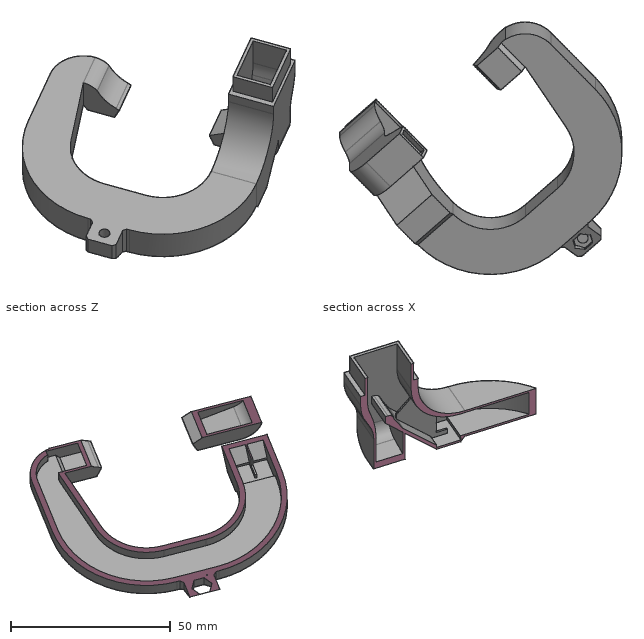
import cadquery as cq
import math


HALF_WIDTH = 37.9
RING_HEIGHT = 11.0
RING_BAND = 15.0
OUTER_RADIUS = 31.0
INNER_RADIUS = OUTER_RADIUS - RING_BAND
FLAT_HALF = HALF_WIDTH - OUTER_RADIUS
ARM_END_Y = 62.45
NOZZLE_WIDTH = 11.0
NOZZLE_FRONT_Y = ARM_END_Y - NOZZLE_WIDTH
ARM_INNER_X = NOZZLE_WIDTH - HALF_WIDTH
SIDE_WALL = 2.0
WALL = 1.0

LEG_INNER_X = HALF_WIDTH - RING_BAND
LEG_TOP = 30.7
LEG_DEPTH = 20.0
LEG_BACK_Y = 67.0
LEG_FRONT_Y = LEG_BACK_Y - LEG_DEPTH
LEG_CURVE = LEG_FRONT_Y - OUTER_RADIUS
LEG_CURVE_TOP = RING_HEIGHT + LEG_CURVE
LEG_WALL_Y = 2.6
OUTER_BACK_SHARE = 0.58
INNER_BACK_SHARE = 0.3
DIP = 1.75
DIP_RUN = 1.4
DIP_REAR_Y = 40.7
WEB_HEIGHT = 1.9
WEB_CREST_Y = 58.4
WEB_CREST_Z = 18.95
WEB_CREST_WIDTH = 0.8
WEB_SHOULDER = (55.3, 16.7)
WEB_KNEE_Y = 52.3
VANE_THICKNESS = 0.6
VANE_START_Y = 34.9
VANE_END_Y = 53.45

SPIGOT_X = 13.2
SPIGOT_Y = 16.8
SPIGOT_HEIGHT = 7.05

TIP_X = 14.9
TIP_TOP = 2.2
TIP_BOTTOM_X = 16.5
SLIT_START = 0.25
SLIT_END = 0.75
NOZZLE_SLOPE = 32.0
NOZZLE_FILLET = 3.5
LEFT_LIP = 1.05
LEFT_CREST_X = -22.3
LEFT_CREST_Z = 8.95
LEFT_HOLLOW = (-19.85, 5.5)
LEFT_DIP_X = -25.5
RIGHT_FLOOR_SLOPE = 11.0
RIGHT_PASSAGE_BEND = 5.3
RIGHT_OUTER_BEND = RIGHT_PASSAGE_BEND + SIDE_WALL

TAB_LENGTH = 7.95
TAB_HALF = 5.0
TAB_CHAMFER = 1.0
TAB_TIP_Z = 4.7
SCREW_Y = -3.95
SCREW_DIAMETER = 3.3
NUT_CORNERS = 6.45
NUT_TOP = 5.3
MEMBRANE = 0.3

SQRT_HALF = math.sqrt(0.5)


def slope(degrees):
    return math.tan(math.radians(degrees))


def along_x(outline, x_start, x_end):
    return outline.close().extrude(x_end - x_start).translate((x_start, 0, 0))


def along_y(outline, y_start, y_end):
    return outline.close().extrude(y_start - y_end).translate((0, y_start, 0))


def web_underside(y):
    return y - DIP_REAR_Y - DIP


def tip_point(fraction, side):
    """Point (x, z) on a nozzle tip face, 0 at its top and 1 at its bottom."""
    x = TIP_X + fraction * (TIP_BOTTOM_X - TIP_X)
    return side * x, TIP_TOP - fraction * (TIP_TOP + DIP)



def ring_plan(right_end_y):
    """Closed outline of the U, with its right leg cut off square at right_end_y."""
    dx = ARM_INNER_X + FLAT_HALF
    dy = NOZZLE_FRONT_Y - OUTER_RADIUS
    tangent = math.atan2(dy, dx) + math.acos(INNER_RADIUS / math.hypot(dx, dy))
    middle = (tangent + 1.5 * math.pi) / 2

    def on_inner_bend(angle):
        x = -FLAT_HALF + INNER_RADIUS * math.cos(angle)
        return x, OUTER_RADIUS + INNER_RADIUS * math.sin(angle)

    outer_mid_x = FLAT_HALF + OUTER_RADIUS * SQRT_HALF
    outer_mid_y = OUTER_RADIUS * (1 - SQRT_HALF)
    inner_mid_x = FLAT_HALF + INNER_RADIUS * SQRT_HALF
    inner_mid_y = OUTER_RADIUS - INNER_RADIUS * SQRT_HALF
    corner_mid = NOZZLE_WIDTH * (1 - SQRT_HALF)
    return (
        cq.Workplane("XY")
        .moveTo(-FLAT_HALF, 0)
        .lineTo(FLAT_HALF, 0)
        .threePointArc((outer_mid_x, outer_mid_y), (HALF_WIDTH, OUTER_RADIUS))
        .lineTo(HALF_WIDTH, right_end_y)
        .lineTo(LEG_INNER_X, right_end_y)
        .lineTo(LEG_INNER_X, OUTER_RADIUS)
        .threePointArc((inner_mid_x, inner_mid_y), (FLAT_HALF, RING_BAND))
        .lineTo(-FLAT_HALF, RING_BAND)
        .threePointArc(on_inner_bend(middle), on_inner_bend(tangent))
        .lineTo(ARM_INNER_X, NOZZLE_FRONT_Y)
        .lineTo(ARM_INNER_X, ARM_END_Y)
        .threePointArc((corner_mid - HALF_WIDTH, ARM_END_Y - corner_mid), (-HALF_WIDTH, NOZZLE_FRONT_Y))
        .lineTo(-HALF_WIDTH, OUTER_RADIUS)
        .threePointArc((-outer_mid_x, outer_mid_y), (-FLAT_HALF, 0))
        .close()
    )


def ring_body():
    return ring_plan(DIP_REAR_Y).extrude(RING_HEIGHT)


def ring_channel():
    plan = ring_plan(DIP_REAR_Y).offset2D(-SIDE_WALL)
    return plan.extrude(RING_HEIGHT - 2 * WALL).translate((0, 0, WALL))



def leg_outline(front_y, back_top_y, back_low_y, curve, top, upper_share):
    """Start of a leg outline: front sweep, top and S-shaped back, ending on the back at ring height."""
    centre_y = front_y - curve
    reach = curve * SQRT_HALF
    drop = LEG_CURVE_TOP - RING_HEIGHT
    shift = back_top_y - back_low_y
    joint_y = back_top_y - upper_share * shift
    joint_z = LEG_CURVE_TOP - upper_share * drop
    return (
        cq.Workplane("YZ")
        .moveTo(centre_y, LEG_CURVE_TOP - curve)
        .threePointArc((centre_y + reach, LEG_CURVE_TOP - reach), (front_y, LEG_CURVE_TOP))
        .lineTo(front_y, top)
        .lineTo(back_top_y, top)
        .lineTo(back_top_y, LEG_CURVE_TOP)
        .tangentArcPoint((joint_y, joint_z), relative=False)
        .tangentArcPoint((back_low_y, RING_HEIGHT), relative=False)
    )


def leg_body():
    outline = (
        leg_outline(LEG_FRONT_Y, LEG_BACK_Y, ARM_END_Y, LEG_CURVE, LEG_TOP, OUTER_BACK_SHARE)
        .lineTo(ARM_END_Y, web_underside(NOZZLE_FRONT_Y))
        .lineTo(NOZZLE_FRONT_Y, web_underside(NOZZLE_FRONT_Y))
        .lineTo(DIP_REAR_Y, -DIP)
        .lineTo(OUTER_RADIUS + DIP_RUN, -DIP)
        .lineTo(OUTER_RADIUS, 0)
    )
    return along_x(outline, LEG_INNER_X, HALF_WIDTH)


def web():
    """Sloping wall that parts the flow to the ring from the flow to the right nozzle."""
    crest_front_y = WEB_CREST_Y - WEB_CREST_WIDTH
    outline = (
        cq.Workplane("YZ")
        .moveTo(DIP_REAR_Y, -DIP)
        .lineTo(WEB_CREST_Y, web_underside(WEB_CREST_Y))
        .lineTo(WEB_CREST_Y, WEB_CREST_Z)
        .lineTo(crest_front_y, WEB_CREST_Z)
        .tangentArcPoint(WEB_SHOULDER, relative=False)
        .lineTo(WEB_KNEE_Y, web_underside(WEB_KNEE_Y) + WEB_HEIGHT)
        .lineTo(DIP_REAR_Y, WEB_HEIGHT - DIP)
    )
    return along_x(outline, LEG_INNER_X, HALF_WIDTH)


def vane():
    """Thin upright guide vane in the middle of the leg, with a 45 degree leading edge."""
    edge_z = web_underside(VANE_END_Y) + WEB_HEIGHT
    edge_run = VANE_END_Y - LEG_FRONT_Y
    outline = (
        cq.Workplane("YZ")
        .moveTo(VANE_START_Y, -DIP)
        .lineTo(DIP_REAR_Y, -DIP)
        .lineTo(VANE_END_Y, edge_z)
        .lineTo(LEG_FRONT_Y, edge_z + edge_run)
        .lineTo(VANE_START_Y, edge_z + edge_run)
    )
    centre_x = HALF_WIDTH - RING_BAND / 2
    return along_x(outline, centre_x - VANE_THICKNESS / 2, centre_x + VANE_THICKNESS / 2)


def leg_passage():
    front_y = LEG_FRONT_Y + LEG_WALL_Y
    curve = LEG_CURVE_TOP - RING_HEIGHT + WALL
    back_low_y = ARM_END_Y - WALL
    back_top_y = LEG_BACK_Y - LEG_WALL_Y
    top = LEG_TOP + SPIGOT_HEIGHT
    outline = (
        leg_outline(front_y, back_top_y, back_low_y, curve, top, INNER_BACK_SHARE)
        .lineTo(NOZZLE_FRONT_Y + WALL, RING_HEIGHT)
        .lineTo(DIP_REAR_Y, WALL - DIP)
        .lineTo(OUTER_RADIUS + DIP_RUN, WALL - DIP)
        .lineTo(front_y - curve, WALL)
    )
    return along_x(outline, LEG_INNER_X + SIDE_WALL, HALF_WIDTH - SIDE_WALL)


def spigot():
    return (
        cq.Workplane("XY", origin=(0, 0, LEG_TOP))
        .center(HALF_WIDTH - RING_BAND / 2, LEG_BACK_Y - LEG_DEPTH / 2)
        .rect(SPIGOT_X, SPIGOT_Y)
        .extrude(SPIGOT_HEIGHT)
    )



def left_nozzle():
    lip_x = -TIP_X - LEFT_LIP
    lip_z = TIP_TOP + LEFT_LIP * slope(NOZZLE_SLOPE)
    outline = (
        cq.Workplane("XZ")
        .moveTo(ARM_INNER_X - DIP, 0)
        .lineTo(ARM_INNER_X - DIP, RING_HEIGHT)
        .lineTo(ARM_INNER_X, RING_HEIGHT)
        .tangentArcPoint((LEFT_CREST_X, LEFT_CREST_Z), relative=False)
        .threePointArc(LEFT_HOLLOW, (lip_x, lip_z))
        .lineTo(*tip_point(0, -1))
        .lineTo(*tip_point(1, -1))
        .lineTo(LEFT_DIP_X, -DIP)
        .lineTo(LEFT_DIP_X - DIP_RUN, 0)
    )
    return along_y(outline, NOZZLE_FRONT_Y, ARM_END_Y)


def left_passage():
    inlet_x = ARM_INNER_X - SIDE_WALL - WALL
    outline = (
        cq.Workplane("XZ")
        .moveTo(inlet_x, WALL)
        .lineTo(inlet_x, RING_HEIGHT - 2 * WALL)
        .lineTo(ARM_INNER_X, RING_HEIGHT - 2 * WALL)
        .lineTo(*tip_point(SLIT_START, -1))
        .lineTo(*tip_point(SLIT_END, -1))
        .lineTo(LEFT_DIP_X, WALL - DIP)
        .lineTo(LEFT_DIP_X - DIP_RUN, WALL)
    )
    return along_y(outline, NOZZLE_FRONT_Y + WALL, ARM_END_Y - WALL)


def right_nozzle():
    root_z = TIP_TOP + (LEG_INNER_X - TIP_X) * slope(NOZZLE_SLOPE)
    reach = NOZZLE_FILLET * slope((90 - NOZZLE_SLOPE) / 2)
    slope_angle = math.radians(NOZZLE_SLOPE)
    fillet_start = (LEG_INNER_X - reach * math.cos(slope_angle), root_z - reach * math.sin(slope_angle))
    bend_x = HALF_WIDTH - RIGHT_OUTER_BEND
    bend_z = RIGHT_OUTER_BEND - DIP
    outline = (
        cq.Workplane("XZ")
        .moveTo(*tip_point(1, 1))
        .lineTo(*tip_point(0, 1))
        .lineTo(*fillet_start)
        .tangentArcPoint((LEG_INNER_X, root_z + reach), relative=False)
        .lineTo(LEG_INNER_X, RING_HEIGHT)
        .lineTo(HALF_WIDTH, RING_HEIGHT)
        .lineTo(HALF_WIDTH, bend_z)
        .threePointArc(
            (bend_x + RIGHT_OUTER_BEND * SQRT_HALF, bend_z - RIGHT_OUTER_BEND * SQRT_HALF),
            (bend_x, -DIP),
        )
    )
    return along_y(outline, NOZZLE_FRONT_Y, ARM_END_Y)


def right_passage():
    """Passage from the back of the leg, under the web, to the slit of the right nozzle."""
    slit_top = tip_point(SLIT_START, 1)
    slit_bottom = tip_point(SLIT_END, 1)
    inner_x = LEG_INNER_X + SIDE_WALL
    outer_x = HALF_WIDTH - SIDE_WALL
    roof_z = slit_top[1] + (inner_x - slit_top[0]) * slope(NOZZLE_SLOPE)
    bend_start_x = outer_x - RIGHT_PASSAGE_BEND * (1 - math.sin(math.radians(RIGHT_FLOOR_SLOPE)))
    bend_start_z = slit_bottom[1] + (bend_start_x - slit_bottom[0]) * slope(RIGHT_FLOOR_SLOPE)
    bend_end_z = bend_start_z + RIGHT_PASSAGE_BEND * math.cos(math.radians(RIGHT_FLOOR_SLOPE))
    top_z = web_underside(WEB_CREST_Y)
    outline = (
        cq.Workplane("XZ")
        .moveTo(*slit_top)
        .lineTo(*slit_bottom)
        .lineTo(bend_start_x, bend_start_z)
        .tangentArcPoint((outer_x, bend_end_z), relative=False)
        .lineTo(outer_x, top_z)
        .lineTo(inner_x, top_z)
        .lineTo(inner_x, roof_z)
    )
    return along_y(outline, NOZZLE_FRONT_Y + WALL, ARM_END_Y - WALL)



def tab():
    root_half = TAB_HALF + TAB_CHAMFER
    tip_half = TAB_HALF - TAB_CHAMFER
    plan = [
        (root_half, 0),
        (TAB_HALF, -TAB_CHAMFER),
        (TAB_HALF, TAB_CHAMFER - TAB_LENGTH),
        (tip_half, -TAB_LENGTH),
    ]
    mirrored = [(-x, y) for x, y in reversed(plan)]
    block = cq.Workplane("XY").polyline(plan + mirrored).close().extrude(RING_HEIGHT)
    underside = cq.Workplane("YZ").polyline([(0, 0), (-TAB_LENGTH, TAB_TIP_Z), (-TAB_LENGTH, 0)])
    return block.cut(along_x(underside, -root_half, root_half))


def screw_hole():
    floor_z = NUT_TOP + MEMBRANE
    hole = cq.Workplane("XY").center(0, SCREW_Y).circle(SCREW_DIAMETER / 2)
    return hole.extrude(RING_HEIGHT - floor_z).translate((0, 0, floor_z))


def nut_pocket():
    return cq.Workplane("XY").center(0, SCREW_Y).polygon(6, NUT_CORNERS).extrude(NUT_TOP)


body = ring_body().union(leg_body()).union(spigot())
body = body.union(left_nozzle()).union(right_nozzle()).union(tab())

ring_flow = ring_channel().union(leg_passage().cut(vane()))
passages = ring_flow.union(right_passage()).cut(web()).union(left_passage())

result = body.cut(passages).cut(screw_hole()).cut(nut_pocket())